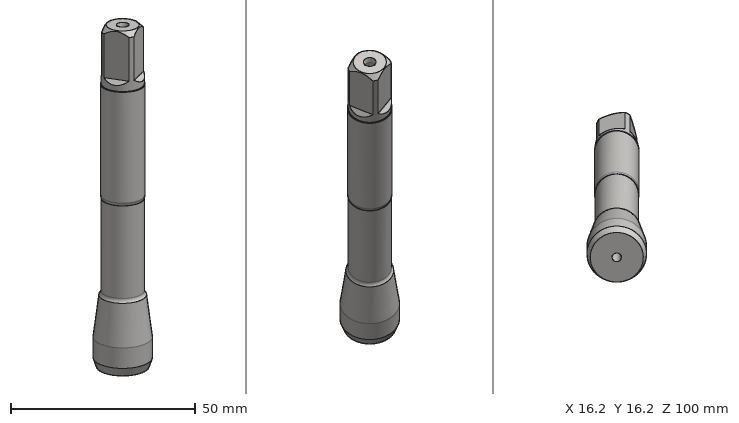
import cadquery as cq
import math

TOTAL_HEIGHT = 100.0
NOSE_TOP = 2.6
CONE_BOTTOM = 8.6
CONE_TOP = 21.0
FLARE_TOP = 22.2
SLEEVE_BOTTOM = 49.3
SLEEVE_TAPER_TOP = 50.2
SLEEVE_TOP = 82.8
FLATS_BOTTOM = 84.5

HEAD_DIAMETER = 16.2
NOSE_DIAMETER = 14.4
CONE_TOP_DIAMETER = 13.0
SHAFT_DIAMETER = 11.9
SEAT_DIAMETER = 11.7
SLEEVE_DIAMETER = 12.2
BORE_DIAMETER = 2.5
COUNTERSINK_DIAMETER = 3.4
COUNTERSINK_DEPTH = 1.4

ACROSS_FLATS = 9.4
DRIVE_TIP_DIAMETER = 9.0
SLEEVE_CHAMFER = 0.15

HEAD_RADIUS = HEAD_DIAMETER / 2
SHAFT_RADIUS = SHAFT_DIAMETER / 2
SEAT_RADIUS = SEAT_DIAMETER / 2
TIP_CHAMFER = (SHAFT_DIAMETER - DRIVE_TIP_DIAMETER) / 2
FLAT_DEPTH = (SHAFT_DIAMETER - ACROSS_FLATS) / 2


def make_turned_shaft():
    """Turn the head, shaft, sleeve seat and chamfered drive tip in one profile."""
    flare_width = CONE_TOP_DIAMETER / 2 - SHAFT_RADIUS
    flare_height = FLARE_TOP - CONE_TOP
    flare_radius = (flare_width**2 + flare_height**2) / (2 * flare_width)
    half_angle = math.asin(flare_height / flare_radius) / 2
    flare_middle = (
        SHAFT_RADIUS + flare_radius * (1 - math.cos(half_angle)),
        FLARE_TOP - flare_radius * math.sin(half_angle),
    )
    return (
        cq.Workplane("XZ")
        .moveTo(0, 0)
        .lineTo(NOSE_DIAMETER / 2, 0)
        .lineTo(HEAD_RADIUS, NOSE_TOP)
        .lineTo(HEAD_RADIUS, CONE_BOTTOM)
        .lineTo(CONE_TOP_DIAMETER / 2, CONE_TOP)
        .threePointArc(flare_middle, (SHAFT_RADIUS, FLARE_TOP))
        .lineTo(SHAFT_RADIUS, SLEEVE_BOTTOM)
        .lineTo(SEAT_RADIUS, SLEEVE_BOTTOM)
        .lineTo(SEAT_RADIUS, SLEEVE_TOP)
        .lineTo(SHAFT_RADIUS, SLEEVE_TOP)
        .lineTo(SHAFT_RADIUS, TOTAL_HEIGHT - TIP_CHAMFER)
        .lineTo(DRIVE_TIP_DIAMETER / 2, TOTAL_HEIGHT)
        .lineTo(0, TOTAL_HEIGHT)
        .close()
        .revolve(360, (0, 0), (0, 1))
    )


def make_flat_cutter():
    """Cutter for one drive flat on the +X side, with a 45 degree runout below it."""
    flat_x = ACROSS_FLATS / 2
    runout_bottom = FLATS_BOTTOM + FLAT_DEPTH
    return (
        cq.Workplane("XZ")
        .moveTo(flat_x, TOTAL_HEIGHT)
        .lineTo(flat_x, runout_bottom)
        .lineTo(SHAFT_RADIUS, FLATS_BOTTOM)
        .lineTo(HEAD_RADIUS, FLATS_BOTTOM)
        .lineTo(HEAD_RADIUS, TOTAL_HEIGHT)
        .close()
        .extrude(HEAD_RADIUS, both=True)
    )


def make_bore_cutter():
    """Through bore with a countersunk mouth at the drive end."""
    return (
        cq.Workplane("XZ")
        .lineTo(BORE_DIAMETER / 2, 0)
        .lineTo(BORE_DIAMETER / 2, TOTAL_HEIGHT - COUNTERSINK_DEPTH)
        .lineTo(COUNTERSINK_DIAMETER / 2, TOTAL_HEIGHT)
        .lineTo(0, TOTAL_HEIGHT)
        .close()
        .revolve(360, (0, 0), (0, 1))
    )


def make_shaft():
    shaft = make_turned_shaft()
    flat_cutter = make_flat_cutter()
    for quarter in range(4):
        shaft = shaft.cut(flat_cutter.rotate((0, 0, 0), (0, 0, 1), 90 * quarter))
    return shaft.cut(make_bore_cutter())


def make_sleeve():
    """Thin sleeve around the seat, tapered at its lower end and chamfered at its upper end."""
    sleeve_radius = SLEEVE_DIAMETER / 2
    return (
        cq.Workplane("XZ")
        .moveTo(SEAT_RADIUS, SLEEVE_BOTTOM)
        .lineTo(sleeve_radius, SLEEVE_TAPER_TOP)
        .lineTo(sleeve_radius, SLEEVE_TOP - SLEEVE_CHAMFER)
        .lineTo(sleeve_radius - SLEEVE_CHAMFER, SLEEVE_TOP)
        .lineTo(SEAT_RADIUS, SLEEVE_TOP)
        .close()
        .revolve(360, (0, 0), (0, 1))
    )


shaft = make_shaft()
sleeve = make_sleeve()
result = cq.Compound.makeCompound([shaft.val(), sleeve.val()])